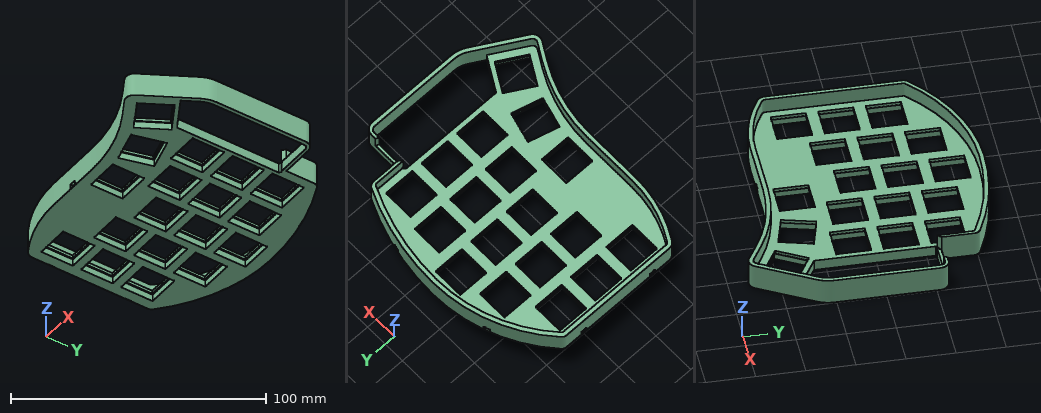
import cadquery as cq
import math


key_pitch = 19.0
column_offsets = [-18.0, -6.0, 0.0, -6.5, -8.9]
middle_column = 2
rows = [-1, 0, 1]
columns_right_of_middle = len(column_offsets) - 1 - middle_column

switch_size = 14.0
switch_relief_size = 15.0
clip_thickness = 1.5

thumb_x = 7.0
thumb_y = -44.5
thumb_radius = 82.0
thumb_step = 15.0
thumb_count = 3
fan_end = thumb_step * (thumb_count - 1)

case_height = 11.0
plate_top = 4.7

wall = 2.0
bay_wall = 1.5
key_clearance = 1.0
key_margin = key_pitch / 2 + key_clearance + wall

case_width = 119.63
left_x = -middle_column * key_pitch - key_margin
right_x = left_x + case_width
plate_right_x = (columns_right_of_middle + 0.5) * key_pitch
bay_left_x = plate_right_x + key_clearance + bay_wall
bay_back_y = 6.15
front_y = thumb_y - key_margin
heel_x = -key_pitch
heel_radius = 57.2
crest_x = 2.0
crest_y = 32.3
crest_left_radius = 74.8
crest_right_radius = 108.3

back_corner_radius = 3.0
heel_corner_radius = 4.0
tip_corner_radius = 4.0
bay_corner_radius = 4.0
side_bend_radius = 13.4

opening_right_x = 63.0
opening_slant = 0.8
opening_overrun = 2.0

bevel_width = 1.0
bevel_length = 0.8

notch_length = 3.0
notch_height = 2.0
notch_depth = 0.95
notch_z = 1.4
notch_taper = 45.0
notch_overcut = 0.05
front_notch_x = (heel_x + thumb_x) / 2
left_notch_ys = [0.25, -36.5]
back_notch_xs = [-24.0, 25.8]

beyond = 2 * case_width


def thumb_point(angle, dx=0.0, dy=0.0):
    """Point at (dx, dy) from the thumb key at this clockwise fan angle, in the key's own axes."""
    a = math.radians(angle)
    reach = thumb_radius + dy
    x = thumb_x + dx * math.cos(a) + reach * math.sin(a)
    y = thumb_y - thumb_radius + reach * math.cos(a) - dx * math.sin(a)
    return (x, y)


def sagitta(radius, offset):
    """Drop of an arc below its tangent, at an offset from the tangent point."""
    return radius - math.sqrt(radius**2 - offset**2)


def heel_point(x):
    """Point on the arc at the front left."""
    return (x, front_y + sagitta(heel_radius, x - heel_x))


def crest_radius(x):
    return crest_left_radius if x < crest_x else crest_right_radius


def crest_point(x):
    """Point on the pair of arcs along the back."""
    return (x, crest_y - sagitta(crest_radius(x), x - crest_x))


def rounded_block(bay_shift):
    """Solid block of the case outline; bay_shift moves the two bay walls outward."""
    bay_x = bay_left_x + bay_shift
    bay_y = bay_back_y + bay_shift
    heel_corner = heel_point(left_x)
    tip = thumb_point(fan_end, key_margin, -key_margin)
    side_bend = (right_x, tip[1] + (right_x - tip[0]) / math.tan(math.radians(fan_end)))
    bay_corner = (right_x, bay_y)
    back_right = crest_point(bay_x)
    back_left = crest_point(left_x)

    block = (
        cq.Workplane("XY")
        .moveTo(*heel_corner)
        .threePointArc(heel_point((left_x + heel_x) / 2), (heel_x, front_y))
        .lineTo(thumb_x, front_y)
        .threePointArc(thumb_point(fan_end / 2, 0, -key_margin), thumb_point(fan_end, 0, -key_margin))
        .lineTo(*tip)
        .lineTo(*side_bend)
        .lineTo(*bay_corner)
        .lineTo(bay_x, bay_y)
        .lineTo(*back_right)
        .threePointArc(crest_point((bay_x + crest_x) / 2), (crest_x, crest_y))
        .threePointArc(crest_point((left_x + crest_x) / 2), back_left)
        .close()
        .extrude(case_height)
    )
    corners = [
        (heel_corner, heel_corner_radius),
        (tip, tip_corner_radius),
        (side_bend, side_bend_radius),
        (bay_corner, bay_corner_radius),
        (back_right, back_corner_radius),
        (back_left, back_corner_radius),
    ]
    for (x, y), radius in corners:
        corner_edge = cq.selectors.NearestToPointSelector((x, y, case_height / 2))
        block = block.edges("|Z").edges(corner_edge).fillet(radius)
    return block


def make_cavity():
    """Space inside the rim; the bay walls are thinner than the rest."""
    outer_wire = rounded_block(wall - bay_wall).faces("<Z").wires().val()
    inner_wire = outer_wire.offset2D(-wall, "intersection")[0]
    return cq.Workplane(cq.Solid.extrudeLinear(inner_wire, [], cq.Vector(0, 0, case_height)))


def make_plate(cavity):
    """Floor that carries the switches, filling the cavity except for the bay."""
    inner_bay_x = bay_left_x - bay_wall
    bevel_start_y = bay_back_y - bay_wall + bevel_length / 2
    key_edge = thumb_point(fan_end, 0, key_pitch / 2)
    slope = math.tan(math.radians(fan_end))
    outline = [
        (-beyond, -beyond),
        (beyond, -beyond),
        (beyond, key_edge[1] - (beyond - key_edge[0]) * slope),
        (plate_right_x, key_edge[1] + (key_edge[0] - plate_right_x) * slope),
        (plate_right_x, bevel_start_y - bevel_length),
        (plate_right_x + bevel_width, bevel_start_y),
        (inner_bay_x, beyond),
        (-beyond, beyond),
    ]
    floor = cq.Workplane("XY").polyline(outline).close().extrude(plate_top)
    return floor.intersect(cavity)


def bay_opening():
    """Cut through the back wall of the bay, above the plate; its left end is a mitre."""
    inner_y = bay_back_y - bay_wall
    outline = [
        (bay_left_x - bay_wall, inner_y),
        (bay_left_x, bay_back_y),
        (bay_left_x, bay_back_y + opening_overrun),
        (opening_right_x, bay_back_y + opening_overrun),
        (opening_right_x, bay_back_y),
        (opening_right_x - opening_slant, inner_y),
    ]
    base = cq.Workplane("XY").workplane(offset=plate_top)
    return base.polyline(outline).close().extrude(case_height)


def switch_hole(x, y, angle=0.0):
    """Switch opening at (x, y), turned clockwise by an angle."""
    clip = cq.Workplane("XY").rect(switch_size, switch_size).extrude(plate_top)
    relief = cq.Workplane("XY").rect(switch_relief_size, switch_relief_size)
    hole = clip.union(relief.extrude(plate_top - clip_thickness))
    return hole.rotate((0, 0, 0), (0, 0, 1), -angle).translate((x, y, 0))


def latch_notch(point, outward):
    """Pocket with four sloped sides, cut into the rim against its outward direction."""
    x, y = point
    nx, ny = outward
    start = (x + notch_overcut * nx, y + notch_overcut * ny, notch_z)
    plane = cq.Plane(start, xDir=(-ny, nx, 0), normal=(-nx, -ny, 0))
    mouth = cq.Workplane(plane).rect(notch_length + 2 * notch_overcut, notch_height + 2 * notch_overcut)
    return mouth.extrude(notch_depth + notch_overcut, taper=notch_taper)


def back_notch(x):
    """Latch notch square to the back arc."""
    nx = (x - crest_x) / crest_radius(x)
    return latch_notch(crest_point(x), (nx, math.sqrt(1 - nx**2)))


cavity = make_cavity()
result = rounded_block(0).cut(cavity).union(make_plate(cavity)).cut(bay_opening())

for column, offset in enumerate(column_offsets):
    for row in rows:
        result = result.cut(switch_hole((column - middle_column) * key_pitch, offset + row * key_pitch))

for thumb in range(thumb_count):
    fan_angle = thumb * thumb_step
    result = result.cut(switch_hole(*thumb_point(fan_angle), fan_angle))

result = result.cut(latch_notch((front_notch_x, front_y), (0, -1)))
for notch_y in left_notch_ys:
    result = result.cut(latch_notch((left_x, notch_y), (-1, 0)))
for notch_x in back_notch_xs:
    result = result.cut(back_notch(notch_x))